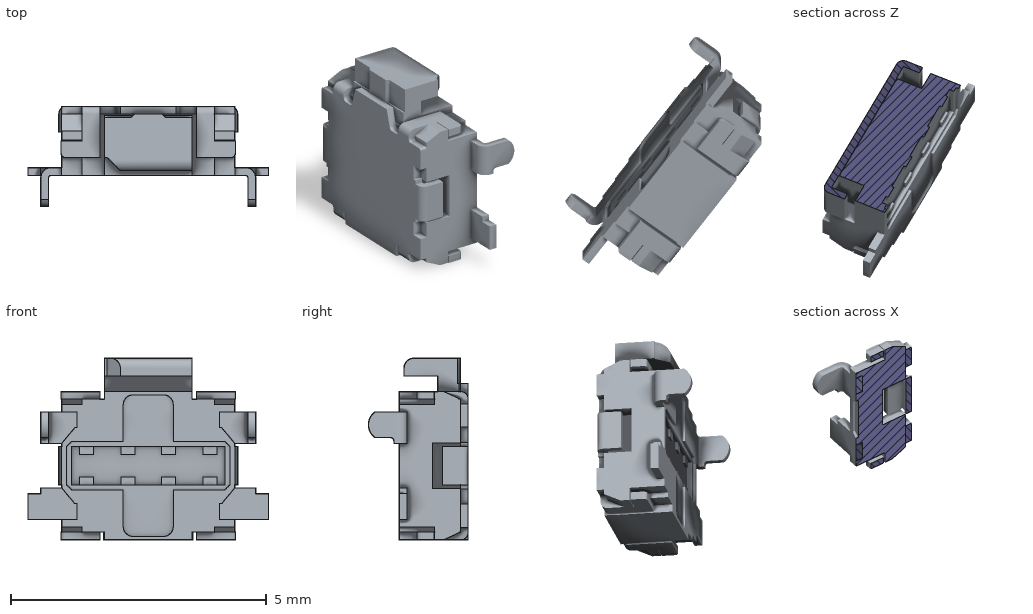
import cadquery as cq
import math


BODY_HALF_X = 1.69
BODY_BACK_Y = 1.2
BODY_HALF_Z = 1.448
BLOCK_HALF_X = 0.855

COVER_SHEET = 0.15
SHOULDER_HALF_Z = BODY_HALF_Z - COVER_SHEET
COVER_BACK_Y = BODY_BACK_Y + COVER_SHEET
BEND_RADIUS = 0.145
CLIP_INNER_X = 0.94
CLIP_OUTER_X = 1.292
CLIP_FRONT_Y = 0.352
FOOT_BACK_Y = 0.675
FOOT_END_X = 1.705
FOOT_CORNER_RADIUS = 0.085
SIDE_CLIP_HALF_Z = 0.375
SIDE_CLIP_X = 1.75
SIDE_CLIP_INNER_X = SIDE_CLIP_X - COVER_SHEET
SIDE_CLIP_FRONT_Y = 0.85
NOTCH_Z = 1.205
TAB_TOP_Z = 1.607
TAB_TOP_HALF_X = 0.54
TAB_ROOT_HALF_X = 0.66
TAB_ROOT_RADIUS = 0.09
LOWER_TAB_HALF_X = 0.875
EAR_INNER_RADIUS = 0.055
EAR_OUTER_RADIUS = 0.045
WAIST_HALF_Z = 0.75
WAIST_HALF_X = 1.455
NECK_HALF_Z = 0.455
NECK_HALF_X = 1.528

POST_FRONT_Y = 0.695
POST_RECESS_Z = 1.2
POST_RAMP_Y = 0.875

SIDE_POCKET_HALF_Z = 0.445
SIDE_POCKET_FRONT_Y = 0.655
SIDE_POCKET_FLOOR_X = 1.292

WINDOW_HALF_X = 1.495
WINDOW_HALF_Z = 0.375
WINDOW_DEPTH = 0.15
FRAME_WIDTH = 0.1
FRAME_DEPTH = 0.05
CROSS_HALF_X = 0.49
CROSS_HALF_Z = 1.38
CROSS_CORNER_RADIUS = 0.195
STUD_X = (-1.205, -0.395, 0.395, 1.205)
STUD_WIDTH = 0.275
STUD_LENGTH = 0.155
STUD_HEIGHT = 0.045

BUTTON_TOP_Z = 2.1
BUTTON_UNDERSIDE_Z = 1.75
BUTTON_FRONT_Y = 0.095
BUTTON_LEG_FRONT_Y = 0.75
BUTTON_EDGE_RADIUS = 0.197
BUTTON_CHAMFER = 0.26
BUTTON_CHAMFER_LAND = 0.05
BUTTON_RIB_HALF_X = 0.273
BUTTON_RIB_DRAFT = 1.0
BUTTON_LOWER_STEP = 0.03
BUTTON_UPPER_STEP = 0.06

TERMINAL_SHEET = 0.155
TERMINAL_INNER_X = 1.39
TERMINAL_BEVEL_X = 1.435
TERMINAL_BEVEL_Z = 0.743
TERMINAL_NEAR_Z = 0.432
TERMINAL_FAR_Z = 1.055
TERMINAL_SHOULDER_X = 2.1
PAD_END_X = 2.35
PAD_STEP_Z = 0.545
LEG_TIP_Y = -0.6
LEG_LOWER_Z = 0.545
LEG_STEP_Y = -0.105
LEG_STEP_RADIUS = 0.065
LEG_TIP_BULGE = 0.13
LEG_INNER_RADIUS = 0.045


def box(x, y, z):
    """Box between the (low, high) pairs x, y and z."""
    size = (x[1] - x[0], y[1] - y[0], z[1] - z[0])
    return cq.Workplane("XY").box(*size, centered=False).translate((x[0], y[0], z[0]))


def prism_y(points, y_low, y_high):
    """Prism along Y from an outline of (x, z) points."""
    plane = cq.Workplane("XZ", origin=(0, y_high, 0))
    return plane.polyline(points).close().extrude(y_high - y_low)


def prism_x(points, x_low, x_high):
    """Prism along X from an outline of (y, z) points."""
    plane = cq.Workplane("YZ", origin=(x_low, 0, 0))
    return plane.polyline(points).close().extrude(x_high - x_low)


def prism_z(points, z_low, z_high):
    """Prism along Z from an outline of (x, y) points."""
    plane = cq.Workplane("XY", origin=(0, 0, z_low))
    return plane.polyline(points).close().extrude(z_high - z_low)


def fillet_corners(plate, x, z, radius):
    """Round the edges along Y at (x, z) and (-x, z)."""
    right = cq.selectors.NearestToPointSelector((x, COVER_BACK_Y - COVER_SHEET / 2, z))
    left = cq.selectors.NearestToPointSelector((-x, COVER_BACK_Y - COVER_SHEET / 2, z))
    return plate.edges("|Y").edges(right + left).fillet(radius)


def both_sides(shape):
    """The shape together with its mirror image about x = 0."""
    return shape.union(shape.mirror("YZ"))


def both_ends(shape):
    """The shape together with its mirror image about z = 0."""
    return shape.union(shape.mirror("XY"))


def make_button():
    across = (-BLOCK_HALF_X, BLOCK_HALF_X)
    head = box(across, (BUTTON_FRONT_Y, BODY_BACK_Y), (BUTTON_UNDERSIDE_Z, BUTTON_TOP_Z))
    head = head.edges("|X and >Z and <Y").fillet(BUTTON_EDGE_RADIUS)

    land_x = -BLOCK_HALF_X + BUTTON_CHAMFER_LAND
    land_y = BUTTON_FRONT_Y + BUTTON_CHAMFER
    corner = [
        (-BLOCK_HALF_X, BUTTON_FRONT_Y),
        (land_x + BUTTON_CHAMFER, BUTTON_FRONT_Y),
        (land_x, land_y),
        (-BLOCK_HALF_X, land_y),
    ]
    head = head.cut(prism_z(corner, BUTTON_UNDERSIDE_Z, BUTTON_TOP_Z))

    leg = box(across, (BUTTON_LEG_FRONT_Y, BODY_BACK_Y), (0, BUTTON_UNDERSIDE_Z))
    return head.union(leg)


def make_button_back_step(depth, z_low, z_high):
    """Material removed from the button's back on both sides of its drafted rib."""
    front_y = BODY_BACK_Y - depth
    outline = [
        (BUTTON_RIB_HALF_X, BODY_BACK_Y),
        (BUTTON_RIB_HALF_X + BUTTON_RIB_DRAFT * depth, front_y),
        (BLOCK_HALF_X, front_y),
        (BLOCK_HALF_X, BODY_BACK_Y),
    ]
    return both_sides(prism_z(outline, z_low, z_high))


def make_corner_posts():
    profile = [
        (POST_FRONT_Y, 0),
        (POST_FRONT_Y, BODY_HALF_Z),
        (POST_RAMP_Y, BODY_HALF_Z),
        (BODY_BACK_Y, SHOULDER_HALF_Z),
        (BODY_BACK_Y, 0),
    ]
    return both_ends(both_sides(prism_x(profile, CLIP_OUTER_X, BODY_HALF_X)))


def make_corner_recesses():
    """Steps in front of the posts, below the feet of the clips."""
    step = box((CLIP_OUTER_X, BODY_HALF_X), (0, POST_FRONT_Y), (POST_RECESS_Z, SHOULDER_HALF_Z))
    return both_ends(both_sides(step))


def make_side_pockets():
    pocket = box(
        (SIDE_POCKET_FLOOR_X, BODY_HALF_X),
        (SIDE_POCKET_FRONT_Y, BODY_BACK_Y),
        (-SIDE_POCKET_HALF_Z, SIDE_POCKET_HALF_Z),
    )
    return both_sides(pocket)


def make_front_recess():
    """Shallow cross and bevelled frame around a deeper window."""
    frame_x = WINDOW_HALF_X + FRAME_WIDTH
    frame_z = WINDOW_HALF_Z + FRAME_WIDTH
    frame = box((-frame_x, frame_x), (0, FRAME_DEPTH), (-frame_z, frame_z))
    frame = frame.edges("|Y").chamfer(FRAME_WIDTH)
    cross = box((-CROSS_HALF_X, CROSS_HALF_X), (0, FRAME_DEPTH), (-CROSS_HALF_Z, CROSS_HALF_Z))
    cross = cross.edges("|Y").fillet(CROSS_CORNER_RADIUS)
    window = box((-WINDOW_HALF_X, WINDOW_HALF_X), (0, WINDOW_DEPTH), (-WINDOW_HALF_Z, WINDOW_HALF_Z))
    recess = frame.union(cross).union(window)
    for x in STUD_X:
        stud = box(
            (x - STUD_WIDTH / 2, x + STUD_WIDTH / 2),
            (WINDOW_DEPTH - STUD_HEIGHT, WINDOW_DEPTH),
            (WINDOW_HALF_Z - STUD_LENGTH, WINDOW_HALF_Z),
        )
        recess = recess.cut(both_ends(stud))
    return recess


def make_housing(terminals):
    depth = (0, BODY_BACK_Y)
    body = box((-BODY_HALF_X, BODY_HALF_X), depth, (-SHOULDER_HALF_Z, SHOULDER_HALF_Z))
    block = box((-BLOCK_HALF_X, BLOCK_HALF_X), depth, (-BODY_HALF_Z, BODY_HALF_Z))
    body = body.union(block).union(make_button())
    body = body.cut(make_button_back_step(BUTTON_LOWER_STEP, SHOULDER_HALF_Z, TAB_TOP_Z))
    body = body.cut(make_button_back_step(BUTTON_UPPER_STEP, TAB_TOP_Z, BUTTON_TOP_Z))
    body = body.cut(make_corner_recesses()).union(make_corner_posts())
    body = body.cut(make_side_pockets()).cut(make_front_recess())
    for terminal in terminals:
        body = body.cut(terminal)
    return body


def make_cover_plate():
    """Flat back of the cover, up to the roots of its clips."""
    right_side = [
        (TAB_TOP_HALF_X, TAB_TOP_Z),
        (TAB_ROOT_HALF_X, NOTCH_Z),
        (CLIP_INNER_X, NOTCH_Z),
        (CLIP_INNER_X, SHOULDER_HALF_Z),
        (CLIP_OUTER_X, SHOULDER_HALF_Z),
        (CLIP_OUTER_X, NOTCH_Z),
        (BODY_HALF_X, NOTCH_Z),
        (BODY_HALF_X, WAIST_HALF_Z),
        (WAIST_HALF_X, WAIST_HALF_Z),
        (WAIST_HALF_X, NECK_HALF_Z),
        (NECK_HALF_X, NECK_HALF_Z),
        (NECK_HALF_X, SIDE_CLIP_HALF_Z),
        (SIDE_CLIP_INNER_X, SIDE_CLIP_HALF_Z),
        (SIDE_CLIP_INNER_X, -SIDE_CLIP_HALF_Z),
        (NECK_HALF_X, -SIDE_CLIP_HALF_Z),
        (NECK_HALF_X, -NECK_HALF_Z),
        (WAIST_HALF_X, -NECK_HALF_Z),
        (WAIST_HALF_X, -WAIST_HALF_Z),
        (BODY_HALF_X, -WAIST_HALF_Z),
        (BODY_HALF_X, -NOTCH_Z),
        (CLIP_OUTER_X, -NOTCH_Z),
        (CLIP_OUTER_X, -SHOULDER_HALF_Z),
        (CLIP_INNER_X, -SHOULDER_HALF_Z),
        (CLIP_INNER_X, -NOTCH_Z),
        (LOWER_TAB_HALF_X, -NOTCH_Z),
        (LOWER_TAB_HALF_X, -BODY_HALF_Z),
    ]
    left_side = [(-x, z) for x, z in reversed(right_side)]
    plate = prism_y(right_side + left_side, BODY_BACK_Y, COVER_BACK_Y)
    plate = fillet_corners(plate, TAB_ROOT_HALF_X, NOTCH_Z, TAB_ROOT_RADIUS)
    plate = fillet_corners(plate, CLIP_INNER_X, NOTCH_Z, TAB_ROOT_RADIUS)
    plate = fillet_corners(plate, BODY_HALF_X, NOTCH_Z, EAR_OUTER_RADIUS)
    plate = fillet_corners(plate, CLIP_OUTER_X, NOTCH_Z, EAR_INNER_RADIUS)
    plate = fillet_corners(plate, CLIP_OUTER_X, -NOTCH_Z, EAR_INNER_RADIUS)
    return plate


def make_end_clip():
    """Clip over the right half of the top: a bent arm with a foot turned outwards."""
    thickness = (SHOULDER_HALF_Z, BODY_HALF_Z)
    arm = box((CLIP_INNER_X, CLIP_OUTER_X), (CLIP_FRONT_Y, COVER_BACK_Y), thickness)
    arm = arm.edges("|X and >Z and >Y").fillet(BEND_RADIUS)
    foot = box((CLIP_INNER_X, FOOT_END_X), (CLIP_FRONT_Y, FOOT_BACK_Y), thickness)
    foot = foot.edges("|Z and >X and <Y").fillet(FOOT_CORNER_RADIUS)
    return arm.union(foot)


def make_side_clip():
    clip = box(
        (SIDE_CLIP_INNER_X, SIDE_CLIP_X),
        (SIDE_CLIP_FRONT_Y, COVER_BACK_Y),
        (-SIDE_CLIP_HALF_Z, SIDE_CLIP_HALF_Z),
    )
    return clip.edges("|Z and >X and >Y").fillet(BEND_RADIUS)


def make_cover():
    end_clips = both_ends(both_sides(make_end_clip()))
    side_clips = both_sides(make_side_clip())
    return make_cover_plate().union(end_clips).union(side_clips)


def make_upper_terminal():
    """Right upper terminal: a flat root and a leg bent forwards, rounded at its tip."""
    root = [
        (TERMINAL_INNER_X, TERMINAL_FAR_Z),
        (TERMINAL_INNER_X, TERMINAL_BEVEL_Z),
        (TERMINAL_BEVEL_X, TERMINAL_BEVEL_Z),
        (BODY_HALF_X, TERMINAL_NEAR_Z),
        (TERMINAL_SHOULDER_X, TERMINAL_NEAR_Z),
        (TERMINAL_SHOULDER_X, TERMINAL_FAR_Z),
    ]
    root_plate = prism_y(root, 0, TERMINAL_SHEET)

    leg_inner_x = TERMINAL_SHOULDER_X - TERMINAL_SHEET
    tip_base_y = LEG_TIP_Y + LEG_TIP_BULGE
    arc_inset = LEG_STEP_RADIUS * (1 - math.sqrt(0.5))
    leg = (
        cq.Workplane("YZ", origin=(leg_inner_x, 0, 0))
        .moveTo(TERMINAL_SHEET, TERMINAL_FAR_Z)
        .lineTo(tip_base_y, TERMINAL_FAR_Z)
        .threePointArc((LEG_TIP_Y, (TERMINAL_FAR_Z + LEG_LOWER_Z) / 2), (tip_base_y, LEG_LOWER_Z))
        .lineTo(LEG_STEP_Y - LEG_STEP_RADIUS, LEG_LOWER_Z)
        .threePointArc(
            (LEG_STEP_Y - arc_inset, LEG_LOWER_Z - arc_inset),
            (LEG_STEP_Y, LEG_LOWER_Z - LEG_STEP_RADIUS),
        )
        .lineTo(LEG_STEP_Y, TERMINAL_NEAR_Z)
        .lineTo(TERMINAL_SHEET, TERMINAL_NEAR_Z)
        .close()
        .extrude(TERMINAL_SHEET)
    )
    terminal = root_plate.union(leg)
    outer_bend = cq.selectors.NearestToPointSelector((TERMINAL_SHOULDER_X, TERMINAL_SHEET, TERMINAL_BEVEL_Z))
    inner_bend = cq.selectors.NearestToPointSelector((leg_inner_x, 0, TERMINAL_BEVEL_Z))
    terminal = terminal.edges(outer_bend).fillet(TERMINAL_SHEET + LEG_INNER_RADIUS)
    return terminal.edges(inner_bend).fillet(LEG_INNER_RADIUS)


def make_lower_terminal():
    """Right lower terminal: a flat solder pad."""
    outline = [
        (TERMINAL_INNER_X, -TERMINAL_FAR_Z),
        (TERMINAL_INNER_X, -TERMINAL_BEVEL_Z),
        (TERMINAL_BEVEL_X, -TERMINAL_BEVEL_Z),
        (BODY_HALF_X, -TERMINAL_NEAR_Z),
        (TERMINAL_SHOULDER_X, -TERMINAL_NEAR_Z),
        (TERMINAL_SHOULDER_X, -PAD_STEP_Z),
        (PAD_END_X, -PAD_STEP_Z),
        (PAD_END_X, -TERMINAL_FAR_Z),
    ]
    return prism_y(outline, 0, TERMINAL_SHEET)


terminals = []
for right_terminal in (make_upper_terminal(), make_lower_terminal()):
    terminals.append(right_terminal)
    terminals.append(right_terminal.mirror("YZ"))

housing = make_housing(terminals)
cover = make_cover()

result = cq.Compound.makeCompound([housing.val(), cover.val(), *[terminal.val() for terminal in terminals]])